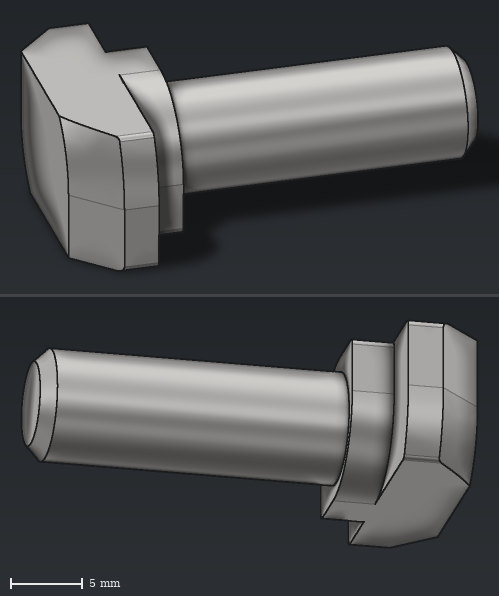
import cadquery as cq

total_length = 30.7
head_length = 19.0
width = 10.0
head_thickness = 5.7
taper = 3.2
neck_top = 8.72
neck_round = 6.02
corner_radius = 0.5
shank_diameter = 8.0
tip_chamfer = 1.0

half_length = head_length / 2
half_width = width / 2


def along_y(y):
    """Workplane at height y whose normal is +Y (local axes: Z, X)."""
    return cq.Workplane(cq.Plane(origin=(0, y, 0), xDir=(0, 0, 1), normal=(0, 1, 0)))


def box(x_min, x_max, y_min, y_max, z_min, z_max):
    size = (x_max - x_min, y_max - y_min, z_max - z_min)
    return cq.Workplane().box(*size, centered=False).translate((x_min, y_min, z_min))


def turned_envelope():
    """Cylinder with a conical front, as wide as the head is long."""
    return along_y(0).circle(half_length).extrude(head_thickness).faces("<Y").chamfer(taper)


def square_half():
    """Flat-ended half of the head, X < 0, with its tapered end."""
    return (
        cq.Workplane("XY", origin=(0, 0, -half_width))
        .moveTo(0, 0)
        .lineTo(taper - half_length, 0)
        .lineTo(-half_length, taper)
        .lineTo(-half_length, head_thickness)
        .lineTo(0, head_thickness)
        .close()
        .extrude(width)
    )


def end_corner(z):
    """Selector for the corner edge at the -X end of the head at height z."""
    margin = corner_radius / 2
    return cq.selectors.BoxSelector(
        (-half_length - margin, 0, z - margin),
        (-half_length / 2, head_thickness, z + margin),
    )


def half_head():
    """Half of the head, X < 0: flat end above Z = 0, round end below."""
    upper = box(-half_length, 0, 0, head_thickness, 0, half_width)
    lower = box(-half_length, 0, 0, head_thickness, -half_width, 0)
    tapered = square_half().intersect(upper).union(turned_envelope().intersect(lower))

    prism = along_y(0).circle(half_length).extrude(head_thickness).intersect(lower).union(upper)
    prism = prism.edges("|Y").edges(end_corner(-half_width) + end_corner(half_width)).fillet(corner_radius)
    return tapered.intersect(prism)


def neck():
    body = box(-half_width, half_width, head_thickness, neck_top, -half_width, half_width)
    body = body.edges("|Y").edges(">(1, 0, 1) or <(1, 0, 1)").fillet(neck_round)
    return body.edges("|Y").edges(">(1, 0, -1) or <(1, 0, -1)").fillet(corner_radius)


def shank():
    rod = along_y(neck_top).circle(shank_diameter / 2).extrude(total_length - neck_top)
    return rod.faces(">Y").chamfer(tip_chamfer)


left_half = half_head()
right_half = left_half.rotate((0, 0, 0), (0, 1, 0), 180)
head = left_half.union(right_half)
result = head.union(neck()).union(shank())